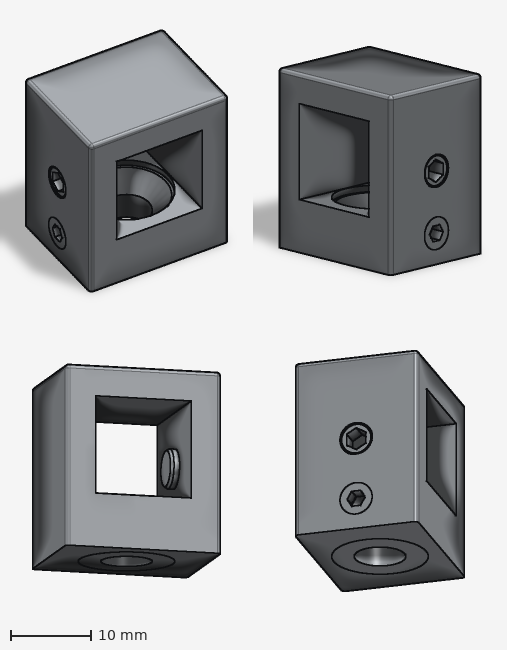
import cadquery as cq
import math

WIDTH = 16.0
DEPTH = 20.0
HEIGHT = 23.0
EDGE_RADIUS = 0.5
WINDOW_SIDE = 12.3
WINDOW_FLOOR = 6.8
FRONT_FACE_Y = -DEPTH / 2
WINDOW_FRONT_Y = -WINDOW_SIDE / 2

BUSHING_RADIUS = 6.0
BUSHING_HEIGHT = 6.0
COUNTERSINK_RADIUS = 5.61
BUSHING_BORE_RADIUS = 3.2
COUNTERSINK_DEPTH = COUNTERSINK_RADIUS - BUSHING_BORE_RADIUS

SCREW_HOLE_RADIUS = 2.1

CLAMP_Z = 12.0
CLAMP_RADIUS = 2.5
CLAMP_RECESS = 0.1
CLAMP_PROTRUSION = 1.1
CLAMP_FACE_RADIUS = 1.9
CLAMP_FACE_CHAMFER = CLAMP_RADIUS - CLAMP_FACE_RADIUS
CLAMP_TIP_RADIUS = 2.25
CLAMP_TIP_CHAMFER = 0.4
CLAMP_SOCKET_FLATS = 2.5
CLAMP_SOCKET_DEPTH = 2.5
CLAMP_LENGTH = WINDOW_FRONT_Y + CLAMP_PROTRUSION - FRONT_FACE_Y - CLAMP_RECESS

LOCK_Z = 4.0
LOCK_LENGTH = DEPTH / 2 - BUSHING_RADIUS
LOCK_SOCKET_FLATS = 2.0
LOCK_SOCKET_DEPTH = 2.0
LOCK_DRILL_POINT_DEPTH = 0.67


def front_plane(z, y=FRONT_FACE_Y):
    """Plane at height z whose normal points into the housing along +Y."""
    return cq.Plane(origin=(0, y, z), xDir=(1, 0, 0), normal=(0, 1, 0))


def hexagon_diameter(flats):
    """Distance across the corners of a hexagon, from its distance across flats."""
    return flats / math.cos(math.pi / 6)


def make_clamp_blank():
    """Clamp screw without its socket: chamfered at the face and at the tip."""
    start = FRONT_FACE_Y + CLAMP_RECESS
    end = start + CLAMP_LENGTH
    profile = [
        (0, start),
        (CLAMP_FACE_RADIUS, start),
        (CLAMP_RADIUS, start + CLAMP_FACE_CHAMFER),
        (CLAMP_RADIUS, end - CLAMP_TIP_CHAMFER),
        (CLAMP_TIP_RADIUS, end),
        (0, end),
    ]
    blank = cq.Workplane("XY").polyline(profile).close().revolve(360, (0, 0), (0, 1))
    return blank.translate((0, 0, CLAMP_Z))


def make_clamp_screw():
    socket = (
        cq.Workplane(front_plane(CLAMP_Z, FRONT_FACE_Y + CLAMP_RECESS))
        .transformed(rotate=(0, 0, 90))
        .polygon(6, hexagon_diameter(CLAMP_SOCKET_FLATS))
        .extrude(CLAMP_SOCKET_DEPTH)
    )
    return make_clamp_blank().cut(socket)


def make_lock_screw():
    """Plain cylinder with a hexagon socket that ends in a conical drill point."""
    corner_diameter = hexagon_diameter(LOCK_SOCKET_FLATS)
    body = cq.Workplane(front_plane(LOCK_Z)).circle(SCREW_HOLE_RADIUS).extrude(LOCK_LENGTH)
    socket = (
        cq.Workplane(front_plane(LOCK_Z))
        .polygon(6, corner_diameter)
        .extrude(LOCK_SOCKET_DEPTH)
    )
    drill_point = cq.Solid.makeCone(
        corner_diameter / 2,
        0,
        LOCK_DRILL_POINT_DEPTH,
        pnt=cq.Vector(0, FRONT_FACE_Y + LOCK_SOCKET_DEPTH, LOCK_Z),
        dir=cq.Vector(0, 1, 0),
    )
    return body.cut(socket).cut(cq.Workplane(drill_point))


def make_bushing():
    countersink_bottom = BUSHING_HEIGHT - COUNTERSINK_DEPTH
    profile = [
        (BUSHING_BORE_RADIUS, 0),
        (BUSHING_RADIUS, 0),
        (BUSHING_RADIUS, BUSHING_HEIGHT),
        (COUNTERSINK_RADIUS, BUSHING_HEIGHT),
        (BUSHING_BORE_RADIUS, countersink_bottom),
    ]
    return cq.Workplane("XZ").polyline(profile).close().revolve(360, (0, 0), (0, 1))


def make_housing():
    block = (
        cq.Workplane("XY")
        .box(WIDTH, DEPTH, HEIGHT, centered=(True, True, False))
        .edges("|Z or >Z")
        .fillet(EDGE_RADIUS)
    )
    window = (
        cq.Workplane("XY")
        .workplane(offset=WINDOW_FLOOR)
        .box(WIDTH, WINDOW_SIDE, WINDOW_SIDE, centered=(True, True, False))
    )
    bushing_bore = cq.Workplane("XY").circle(BUSHING_RADIUS).extrude(WINDOW_FLOOR)
    clamp_hole = (
        cq.Workplane(front_plane(CLAMP_Z))
        .circle(SCREW_HOLE_RADIUS)
        .extrude(WINDOW_FRONT_Y - FRONT_FACE_Y)
    )
    lock_hole = cq.Workplane(front_plane(LOCK_Z)).circle(SCREW_HOLE_RADIUS).extrude(DEPTH / 2)
    housing = block.cut(window).cut(bushing_bore).cut(clamp_hole).cut(lock_hole)
    return housing.cut(make_clamp_blank())


housing = make_housing()
bushing = make_bushing()
clamp_screw = make_clamp_screw()
lock_screw = make_lock_screw()

result = cq.Compound.makeCompound(
    [housing.val(), bushing.val(), clamp_screw.val(), lock_screw.val()]
)